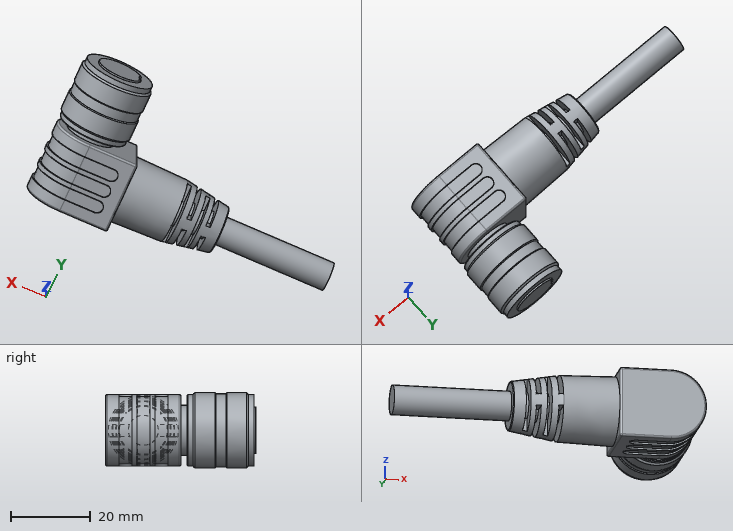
import cadquery as cq

TOTAL_LENGTH = 79.3

CABLE_RADIUS = 7.5 / 2

BOOT_START = 30.0
BOOT_START_RADIUS = 6.3
BOOT_KNEE = 42.4
BOOT_KNEE_RADIUS = 8.4
BOOT_END_RADIUS = 8.8
BOOT_RIM_CHAMFER = 0.2
RELIEF_WIDTH = 1.2
RELIEF_WEB_HALF = 1.5
RELIEF_STARTS_Y = (33.15, 38.4)
RELIEF_STARTS_Z = (35.7, 41.2)

NUT_RADIUS = 9.5
NUT_AXIS_X = TOTAL_LENGTH - NUT_RADIUS
COLLAR_RADIUS = 18.0 / 2
WAIST_RADIUS = 18.5 / 2
NECK_RADIUS = 6.35
INSERT_RADIUS = 5.9
COLLAR_START = 11.0
COLLAR_LENGTH = 1.4
NUT_BEVEL = NUT_RADIUS - COLLAR_RADIUS
WAIST_BEVEL = NUT_RADIUS - WAIST_RADIUS
WAIST_START = 18.2
WAIST_END = 20.8
NUT_END = 27.8
COLLAR_CHAMFER = 0.2
INSERT_END = 28.3
KEY_SLOT_WIDTH = 2.5
KEY_SLOT_DEPTH = 0.7

BODY_START = 56.7
BODY_HALF_WIDTH = 9.5
BODY_RADIUS = 18.0 / 2
BODY_FILLET = 0.5

CUT_REACH = 2 * BODY_RADIUS

GROOVE_START = 60.0
GROOVE_WIDTH = 3.25
GROOVE_PITCH = 4.5
GROOVE_DEPTH = 0.5
GROOVE_COUNT = 3


def d_prism(start, radius, width):
    """Prism along Y: flat at the cable side, half-round about the nut axis."""
    return (
        cq.Workplane("XZ")
        .moveTo(start, -radius)
        .lineTo(NUT_AXIS_X, -radius)
        .threePointArc((NUT_AXIS_X + radius, 0), (NUT_AXIS_X, radius))
        .lineTo(start, radius)
        .close()
        .extrude(width / 2, both=True)
    )


def make_groove_cutter():
    """Shell wrapped over the body's outer skin, trimmed to a round-ended groove."""
    skin = d_prism(BODY_START, CUT_REACH, GROOVE_WIDTH).cut(
        d_prism(BODY_START, BODY_RADIUS - GROOVE_DEPTH, GROOVE_WIDTH)
    )
    end_radius = GROOVE_WIDTH / 2
    straight_start = GROOVE_START + end_radius
    far_end = NUT_AXIS_X + CUT_REACH
    footprint = (
        cq.Workplane("XY")
        .moveTo(straight_start, -end_radius)
        .lineTo(far_end, -end_radius)
        .lineTo(far_end, end_radius)
        .lineTo(straight_start, end_radius)
        .threePointArc((GROOVE_START, 0), (straight_start, -end_radius))
        .close()
        .extrude(CUT_REACH, both=True)
    )
    return skin.intersect(footprint)


def make_body():
    body = d_prism(BODY_START, BODY_RADIUS, 2 * BODY_HALF_WIDTH)
    body = body.faces("<X or <Y or >Y").edges().fillet(BODY_FILLET)
    cutter = make_groove_cutter()
    for index in range(GROOVE_COUNT):
        offset = (index - (GROOVE_COUNT - 1) / 2) * GROOVE_PITCH
        body = body.cut(cutter.translate((0, offset, 0)))
    return body


def make_relief_cutter(start):
    """Slice across the boot that leaves one flat web through the axis, spanning Y."""
    slab = cq.Workplane("YZ", origin=(start, 0, 0)).circle(CUT_REACH).extrude(RELIEF_WIDTH)
    web = (
        cq.Workplane("YZ", origin=(start, 0, 0))
        .rect(2 * CUT_REACH, 2 * RELIEF_WEB_HALF)
        .extrude(RELIEF_WIDTH)
    )
    return slab.cut(web)


def make_boot():
    boot = (
        cq.Workplane("XY")
        .moveTo(BOOT_START, 0)
        .lineTo(BOOT_START, BOOT_START_RADIUS - BOOT_RIM_CHAMFER)
        .lineTo(BOOT_START + BOOT_RIM_CHAMFER, BOOT_START_RADIUS)
        .lineTo(BOOT_KNEE, BOOT_KNEE_RADIUS)
        .lineTo(BODY_START, BOOT_END_RADIUS)
        .lineTo(BODY_START, 0)
        .close()
        .revolve(360, (0, 0, 0), (1, 0, 0))
    )
    for start in RELIEF_STARTS_Z:
        boot = boot.cut(make_relief_cutter(start))
    for start in RELIEF_STARTS_Y:
        boot = boot.cut(make_relief_cutter(start).rotate((0, 0, 0), (1, 0, 0), 90))
    return boot


def make_cable():
    return cq.Workplane("YZ").circle(CABLE_RADIUS).extrude(BODY_START)


def make_coupling():
    """Neck, coupling nut and insert turned from (radius, Y) points, then keyed."""
    ring_start = COLLAR_START + COLLAR_LENGTH
    ring_end = NUT_END - COLLAR_LENGTH
    profile = [
        (0, 0),
        (NECK_RADIUS, 0),
        (NECK_RADIUS, COLLAR_START),
        (COLLAR_RADIUS - COLLAR_CHAMFER, COLLAR_START),
        (COLLAR_RADIUS, COLLAR_START + COLLAR_CHAMFER),
        (COLLAR_RADIUS, ring_start),
        (NUT_RADIUS, ring_start + NUT_BEVEL),
        (NUT_RADIUS, WAIST_START - WAIST_BEVEL),
        (WAIST_RADIUS, WAIST_START),
        (WAIST_RADIUS, WAIST_END),
        (NUT_RADIUS, WAIST_END + WAIST_BEVEL),
        (NUT_RADIUS, ring_end - NUT_BEVEL),
        (COLLAR_RADIUS, ring_end),
        (COLLAR_RADIUS, NUT_END),
        (INSERT_RADIUS, NUT_END),
        (INSERT_RADIUS, INSERT_END),
        (0, INSERT_END),
    ]
    turned = cq.Workplane("XY").polyline(profile).close().revolve(360, (0, 0, 0), (0, 1, 0))
    insert_height = INSERT_END - NUT_END
    key_slot = cq.Workplane("XY").box(2 * KEY_SLOT_DEPTH, 2 * insert_height, KEY_SLOT_WIDTH)
    key_slot = key_slot.translate((-INSERT_RADIUS, INSERT_END, 0))
    return turned.cut(key_slot).translate((NUT_AXIS_X, 0, 0))


result = make_body().union(make_boot()).union(make_cable()).union(make_coupling())